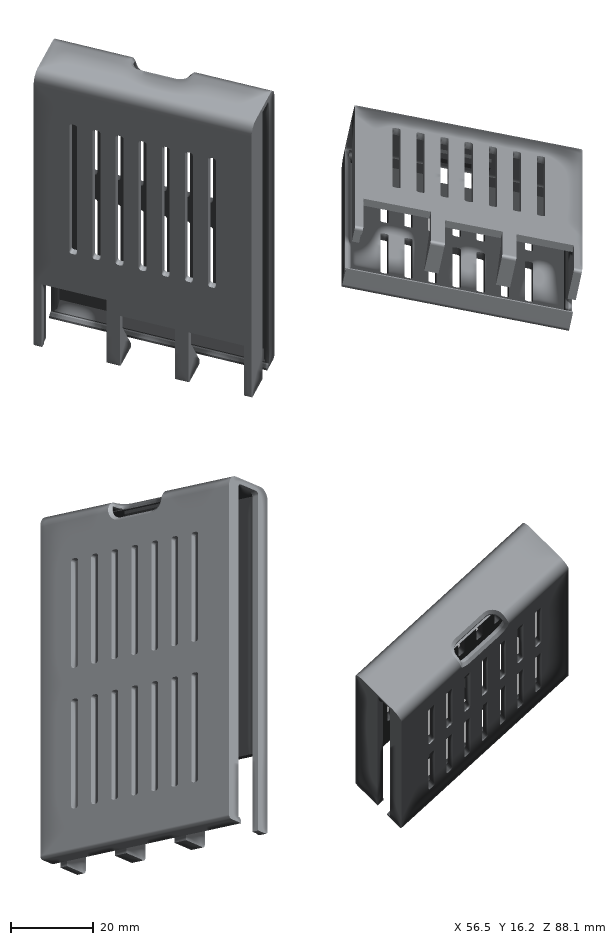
import cadquery as cq

WIDTH = 56.5
DEPTH = 16.2
HEIGHT = 88.1
OUTER_RADIUS = 3.0
BOTTOM_RADIUS = 0.9
SKIN = 1.8
TOP_WALL = 1.5
FRAME = 4.0
OPENING_RADIUS = 1.0
OVERLAP = 0.9
PICK_MARGIN = 0.01

HALF_WIDTH = WIDTH / 2
CEILING = HEIGHT - TOP_WALL
FRONT_FRAME_Y = FRAME
BACK_FRAME_Y = DEPTH - FRAME
BACK_SKIN_Y = DEPTH - SKIN

BACK_RIM = 0.9
RECESS_BEVEL = 0.6
RECESS_REACH = 0.35
RECESS_SLOPE_TOP = 3.7

LIP_REACH = 1.15
LIP_HEIGHT = 1.3
LIP_CHAMFER = 0.66

OUTER_LEG_WIDTH = 2.0
LEG_WIDTH = 3.5
LEG_CENTERS = (-7.7, 10.1)
TALL_OPENING = 20.8
SHORT_OPENING = 16.65
WALL_EDGE_Y = 7.8
GUSSET_TIP_HEIGHT = 1.3
GUSSET_HEIGHT = 11.45

SLOT_COUNT = 7
SLOT_PITCH = 6.0
SLOT_WIDTH = 2.0
SLOT_CORNER = 0.7
SLOT_TOP = 75.1
FRONT_SLOT_LENGTH = 42.0
BACK_SLOT_LENGTH = 28.0
BACK_SLOT_GAP = 7.9

NOTCH_WIDTH = 14.45
NOTCH_REACH = 4.85
NOTCH_CORNER = 2.55
NOTCH_CHAMFER = 0.8
NOTCH_TAPER = 27.0

STOP_FRONT_Y = 7.3
STOP_BACK_Y = 10.4
STOP_DROP = 2.5
STOP_CHAMFER = 1.7

BUMP_RADIUS = 1.2
BUMP_Y = 12.6
BUMP_Z = 83.1
BUMP_LENGTH = 1.8


def box(x0, x1, y0, y1, z0, z1):
    return cq.Workplane("XY").box(x1 - x0, y1 - y0, z1 - z0, centered=False).translate((x0, y0, z0))


def prism_along_x(points, x0, x1):
    """Extrude a Y-Z outline between two X positions."""
    return cq.Workplane("YZ").workplane(offset=x0).polyline(points).close().extrude(x1 - x0)


def make_shell():
    shell = box(-HALF_WIDTH, HALF_WIDTH, 0, DEPTH, 0, HEIGHT)
    shell = shell.edges("|X and >Z").fillet(OUTER_RADIUS)
    shell = shell.edges("|X and <Z").fillet(BOTTOM_RADIUS)
    reach = HALF_WIDTH + OVERLAP
    opening = box(-reach, reach, FRONT_FRAME_Y, BACK_FRAME_Y, -OVERLAP, CEILING)
    return shell.cut(opening.edges("|X and >Z").fillet(OPENING_RADIUS))


def front_recess():
    """Pocket that thins the front wall and stays open at the bottom."""
    inner = HALF_WIDTH - SKIN
    return box(-inner, inner, SKIN, FRONT_FRAME_Y + OVERLAP, -OVERLAP, CEILING)


def back_recess():
    """Pocket in the back wall with bevelled sides and a sloped bottom end."""
    half = HALF_WIDTH - BACK_RIM
    inner = half - RECESS_BEVEL
    slope_end_y = BACK_FRAME_Y - RECESS_REACH
    bevel_y = BACK_FRAME_Y + RECESS_BEVEL
    plan = [
        (-half, slope_end_y),
        (half, slope_end_y),
        (half, BACK_FRAME_Y),
        (inner, bevel_y),
        (inner, BACK_SKIN_Y),
        (-inner, BACK_SKIN_Y),
        (-inner, bevel_y),
        (-half, BACK_FRAME_Y),
    ]
    sides = cq.Workplane("XY").polyline(plan).close().extrude(CEILING)
    profile = [
        (slope_end_y, LIP_HEIGHT),
        (BACK_SKIN_Y, RECESS_SLOPE_TOP),
        (BACK_SKIN_Y, CEILING),
        (slope_end_y, CEILING),
    ]
    return sides.intersect(prism_along_x(profile, -half, half))


def leg_openings():
    """Three openings that leave four legs along the front bottom edge."""
    inner = HALF_WIDTH - OUTER_LEG_WIDTH
    half_leg = LEG_WIDTH / 2
    left, right = LEG_CENTERS
    spans = (
        (-inner, left - half_leg, TALL_OPENING),
        (left + half_leg, right - half_leg, SHORT_OPENING),
        (right + half_leg, inner, SHORT_OPENING),
    )
    cuts = cq.Workplane("XY")
    for x0, x1, top in spans:
        cuts = cuts.add(box(x0, x1, -OVERLAP, FRONT_FRAME_Y, -OVERLAP, top))
    return cuts.combine()


def slot_row(top, length, y0, y1):
    """One row of vertical slots cut from y0 to y1."""
    row = cq.Workplane("XY")
    for i in range(SLOT_COUNT):
        x = (i - (SLOT_COUNT - 1) / 2) * SLOT_PITCH
        slot = box(x - SLOT_WIDTH / 2, x + SLOT_WIDTH / 2, y0, y1, top - length, top)
        row = row.add(slot.edges("|Y").fillet(SLOT_CORNER))
    return row.combine()


def lip():
    """Low ridge along the bottom of the back wall."""
    tip_y = BACK_FRAME_Y - LIP_REACH
    outline = [
        (BACK_FRAME_Y + OVERLAP, 0),
        (tip_y, 0),
        (tip_y, LIP_HEIGHT - LIP_CHAMFER),
        (tip_y + LIP_CHAMFER, LIP_HEIGHT),
        (BACK_FRAME_Y + OVERLAP, LIP_HEIGHT),
    ]
    return prism_along_x(outline, -HALF_WIDTH, HALF_WIDTH)


def gusset(x0, x1):
    """Sloped foot that reaches back from a leg."""
    outline = [
        (SKIN, 0),
        (WALL_EDGE_Y, 0),
        (WALL_EDGE_Y, GUSSET_TIP_HEIGHT),
        (SKIN, GUSSET_HEIGHT),
    ]
    return prism_along_x(outline, x0, x1)


def side_wall():
    """Full-height wall on the +X side, joined to the front wall."""
    return box(HALF_WIDTH - SKIN, HALF_WIDTH, SKIN, WALL_EDGE_Y, 0, CEILING)


def stop_rib():
    """Rib under the ceiling in front of the finger notch."""
    low = CEILING - STOP_DROP
    root_z = CEILING + TOP_WALL / 2
    outline = [
        (STOP_FRONT_Y, root_z),
        (STOP_FRONT_Y, low),
        (STOP_BACK_Y - STOP_CHAMFER, low),
        (STOP_BACK_Y, low + STOP_CHAMFER),
        (STOP_BACK_Y, root_z),
    ]
    return prism_along_x(outline, -NOTCH_WIDTH / 2, NOTCH_WIDTH / 2)


def bump():
    """Short round bar with a domed end, set in the recess side."""
    start = -HALF_WIDTH + BACK_RIM
    axis = cq.Workplane("YZ").workplane(offset=start).center(BUMP_Y, BUMP_Z)
    bar = axis.circle(BUMP_RADIUS).extrude(BUMP_LENGTH)
    end = cq.Workplane("XY").sphere(BUMP_RADIUS).translate((start + BUMP_LENGTH, BUMP_Y, BUMP_Z))
    return bar.union(end)


def notch_flare():
    """Widen the back part of the notch inwards from the foot of its bevel."""
    bevel_foot_y = DEPTH - NOTCH_CHAMFER
    mouth = cq.Sketch().rect(NOTCH_WIDTH, 2 * NOTCH_REACH).vertices().fillet(NOTCH_CORNER)
    flare = (
        cq.Workplane("XZ", origin=(0, bevel_foot_y, HEIGHT))
        .placeSketch(mouth)
        .extrude(bevel_foot_y - BACK_SKIN_Y, taper=-NOTCH_TAPER)
    )
    return flare.intersect(box(-HALF_WIDTH, HALF_WIDTH, 0, DEPTH, 0, CEILING))


def cut_notch(body):
    """Open the top back edge, then bevel the outer rim of the opening."""
    half = NOTCH_WIDTH / 2
    front_y = DEPTH - NOTCH_REACH
    low_z = HEIGHT - NOTCH_REACH
    top_cut = box(-half, half, front_y, DEPTH + OVERLAP, CEILING, HEIGHT + OVERLAP)
    back_cut = box(-half, half, BACK_SKIN_Y, DEPTH + OVERLAP, low_z, HEIGHT + OVERLAP)
    top_cut = top_cut.edges("|Z and <Y").fillet(NOTCH_CORNER)
    back_cut = back_cut.edges("|Y and <Z").fillet(NOTCH_CORNER)
    notched = body.cut(top_cut).cut(back_cut)
    rim_x = half + OVERLAP
    on_top = cq.selectors.BoxSelector(
        (-rim_x, front_y - OVERLAP, HEIGHT - PICK_MARGIN), (rim_x, DEPTH, HEIGHT + PICK_MARGIN)
    )
    top_rim = notched.edges("|X").edges(on_top)
    return top_rim.chamfer(NOTCH_CHAMFER).cut(notch_flare())


result = make_shell().union(lip()).union(side_wall())
result = result.cut(front_recess()).cut(back_recess())
result = cut_notch(result).cut(leg_openings())
half_leg = LEG_WIDTH / 2
for leg_center in LEG_CENTERS:
    result = result.union(gusset(leg_center - half_leg, leg_center + half_leg))
result = result.union(gusset(HALF_WIDTH - OUTER_LEG_WIDTH, HALF_WIDTH))

lower_slot_top = SLOT_TOP - BACK_SLOT_LENGTH - BACK_SLOT_GAP
result = result.cut(slot_row(SLOT_TOP, FRONT_SLOT_LENGTH, -OVERLAP, FRONT_FRAME_Y))
for slot_top in (SLOT_TOP, lower_slot_top):
    result = result.cut(slot_row(slot_top, BACK_SLOT_LENGTH, BACK_FRAME_Y, DEPTH + OVERLAP))

result = result.union(stop_rib()).union(bump())